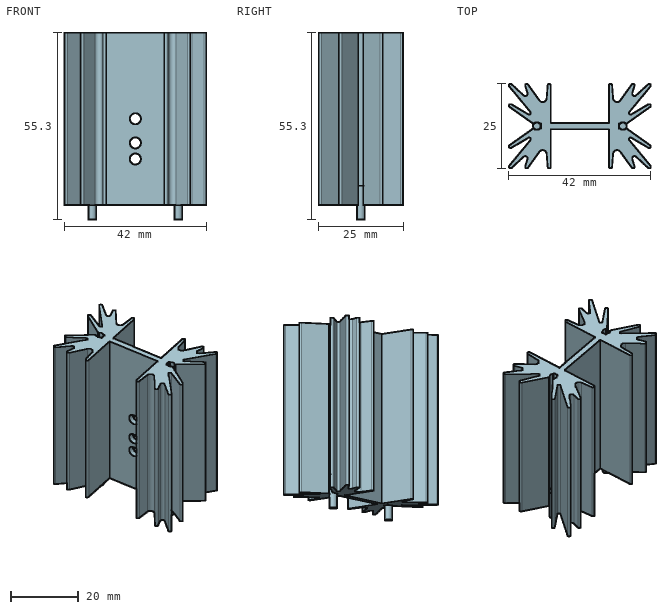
import cadquery as cq
import math

total_height = 55.3
body_height = 51.0
total_width = 42.0
total_depth = 25.0

web_thickness = 1.9
flank_inner_x = 8.55

tip_radius = 0.5
tip_reach_x = total_width / 2 - tip_radius
tip_reach_y = total_depth / 2 - tip_radius
diagonal_fin_x = 15.7
side_fin_y = 6.05

pin_diameter = 2.3
pin_length = 9.95
pin_x = 12.7
pin_bottom_z = body_height - total_height
groove_mouth_x = 13.9
groove_back_x = 11.5
groove_width = 1.5
groove_bore_diameter = 2.1

mount_hole_diameter = 3.2
mount_hole_heights = [13.6, 18.35, 25.5]

INNER_TIP = (flank_inner_x + tip_radius, tip_reach_y, tip_radius)
INNER_VALLEY = (11.0, 8.3, 1.15)
DIAGONAL_TIP = (diagonal_fin_x, tip_reach_y, tip_radius)
CORNER_VALLEY = (16.15, 9.55, 0.65)
CORNER_TIP = (tip_reach_x, tip_reach_y, tip_radius)
SIDE_VALLEY = (15.0, 3.85, 0.45)
SIDE_TIP = (tip_reach_x, side_fin_y, tip_radius)
ROUNDS = [INNER_TIP, INNER_VALLEY, DIAGONAL_TIP, CORNER_VALLEY, CORNER_TIP, SIDE_VALLEY, SIDE_TIP]


def point_on(circle, angle):
    """Point at an angle on a circle."""
    x, y, radius = circle
    return (x + radius * math.cos(angle), y + radius * math.sin(angle))


def crossing_tangent_angle(start, end, turn):
    """Angle on the start circle where a line crossing over to the end circle leaves it.

    The line touches the end circle at the opposite angle. A turn of 1 means that
    the start circle is passed clockwise, -1 counterclockwise.
    """
    dx = end[0] - start[0]
    dy = end[1] - start[1]
    offset = math.acos((start[2] + end[2]) / math.hypot(dx, dy))
    return math.atan2(dy, dx) + turn * offset


def arc_middle(circle, start_angle, end_angle, turn):
    """Middle point of the arc from start to end, clockwise for a turn of 1."""
    sweep = (turn * (start_angle - end_angle)) % (2 * math.pi)
    return point_on(circle, start_angle - turn * sweep / 2)


def fin_quarter():
    """Solid of the fins in the +X, +Y quarter, closed along the X axis."""
    outline = cq.Workplane("XY").moveTo(flank_inner_x, 0).lineTo(flank_inner_x, tip_reach_y)
    arrival = math.pi
    turn = 1
    for circle, following in zip(ROUNDS, ROUNDS[1:]):
        departure = crossing_tangent_angle(circle, following, turn)
        outline = outline.threePointArc(
            arc_middle(circle, arrival, departure, turn), point_on(circle, departure)
        )
        arrival = departure + math.pi
        outline = outline.lineTo(*point_on(following, arrival))
        turn = -turn

    mouth = (groove_mouth_x, groove_width / 2, 0.0)
    departure = crossing_tangent_angle(SIDE_TIP, mouth, turn)
    outline = outline.threePointArc(
        arc_middle(SIDE_TIP, arrival, departure, turn), point_on(SIDE_TIP, departure)
    )
    outline = outline.lineTo(mouth[0], mouth[1]).lineTo(groove_mouth_x, 0).close()
    return outline.extrude(body_height)


def pin_groove(side):
    """Full-height bore on the pin axis, crossed by a flat-backed slot that opens outward."""
    bore = cq.Workplane("XY").center(side * pin_x, 0).circle(groove_bore_diameter / 2).extrude(body_height)
    slot = (
        cq.Workplane("XY")
        .center(side * (groove_mouth_x + groove_back_x) / 2, 0)
        .rect(groove_mouth_x - groove_back_x, groove_width)
        .extrude(body_height)
    )
    return bore.union(slot)


def mount_holes():
    """Cylinders through the web along Y."""
    return (
        cq.Workplane("XZ")
        .pushPoints([(0, height) for height in mount_hole_heights])
        .circle(mount_hole_diameter / 2)
        .extrude(web_thickness, both=True)
    )


def make_pin(side):
    """Round pin; its upper part fills a matching seat in the lower end of the groove."""
    return (
        cq.Workplane("XY", origin=(side * pin_x, 0, pin_bottom_z))
        .circle(pin_diameter / 2)
        .extrude(pin_length)
    )


def make_heat_sink():
    quarter = fin_quarter()
    flank = quarter.union(quarter.mirror("XZ"))
    web = cq.Workplane("XY").rect(2 * flank_inner_x, web_thickness).extrude(body_height)
    heat_sink = web.union(flank).union(flank.mirror("YZ"))
    for side in (-1, 1):
        heat_sink = heat_sink.cut(pin_groove(side)).cut(make_pin(side))
    return heat_sink.cut(mount_holes())


heat_sink = make_heat_sink()
pins = [make_pin(side) for side in (-1, 1)]

result = cq.Compound.makeCompound([*heat_sink.solids().vals(), *[pin.val() for pin in pins]])